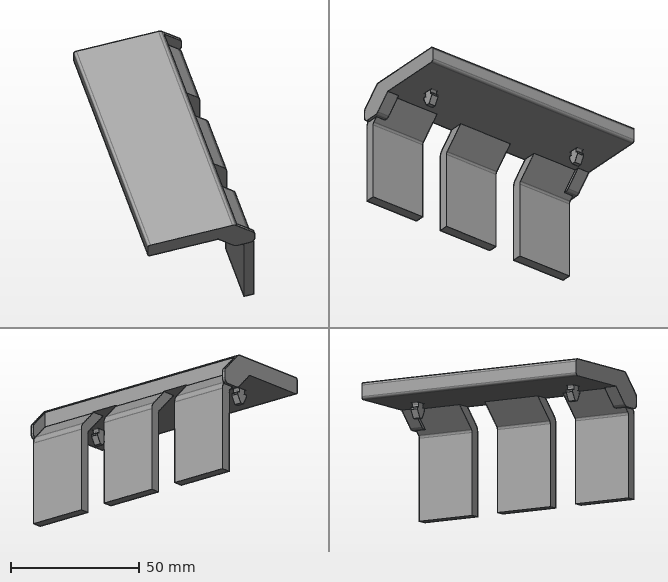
import cadquery as cq

LENGTH = 99.3
DEPTH = 43.6
HEIGHT = 49.3
PLATE_THICKNESS = 6.8
EDGE_RADIUS = 1.1
BEND_RADIUS = 2.0
OUTER_BEND = 8.2
INNER_BEND = 14.9
BRACKET_DROP = 13.7
PLATE_BACK = 7.05

BRACKET_WIDTH = 5.4
CHEEK_WIDTH = 1.2

FLAP_COUNT = 3
FLAP_WIDTH = 24.5
FLAP_PITCH = (LENGTH - 2 * CHEEK_WIDTH - FLAP_WIDTH) / (FLAP_COUNT - 1)
FLAP_THICKNESS = 4.1
FLAP_OUTER_DROP = 14.2
FLAP_INNER_DROP = 15.8
FLAP_OUTER_RADIUS = 4.0
FLAP_INNER_RADIUS = 1.5

CLIP_WIDTH = 3.0
CLIP_INSET = 13.7
CLIP_SETBACK = 24.6
STEM_HALF = 1.6
BARB_HALF = 2.63
TIP_HALF = 0.8
BARB_TOP = 8.5
BARB_SHOULDER = 9.5
TIP_DROP = 12.8
BARB_RADIUS = 0.5
STEM_ROOT_RADIUS = 0.8


def extrude_profile(points, start, width):
    """Extrude along X an outline of (distance from back, drop from top) points."""
    outline = [(-setback, -drop) for setback, drop in points]
    return cq.Workplane("YZ").workplane(offset=start).polyline(outline).close().extrude(width)


def round_corner(body, setback, drop, radius):
    """Fillet the X-direction edge at the given profile corner."""
    near = 0.01
    selector = cq.selectors.BoxSelector(
        (-LENGTH, -setback - near, -drop - near),
        (2 * LENGTH, -setback + near, -drop + near),
    )
    return body.edges("|X").edges(selector).fillet(radius)


def make_cover():
    """Full bent section, cut back between the cheeks and between the brackets."""
    inner_foot = INNER_BEND + PLATE_THICKNESS - BRACKET_DROP
    cover = extrude_profile(
        [
            (OUTER_BEND, 0),
            (DEPTH, 0),
            (DEPTH, PLATE_THICKNESS),
            (INNER_BEND, PLATE_THICKNESS),
            (inner_foot, BRACKET_DROP),
            (0, BRACKET_DROP),
            (0, OUTER_BEND),
        ],
        0,
        LENGTH,
    )
    for drop in (0, PLATE_THICKNESS):
        cover = round_corner(cover, DEPTH, drop, EDGE_RADIUS)
    for setback, drop in (
        (OUTER_BEND, 0),
        (inner_foot, BRACKET_DROP),
        (0, BRACKET_DROP),
        (0, OUTER_BEND),
    ):
        cover = round_corner(cover, setback, drop, BEND_RADIUS)

    above_flaps = extrude_profile(
        [
            (0, 0),
            (PLATE_BACK, 0),
            (PLATE_BACK, FLAP_OUTER_DROP - PLATE_BACK),
            (FLAP_THICKNESS, FLAP_OUTER_DROP - FLAP_THICKNESS),
            (FLAP_THICKNESS, BRACKET_DROP),
            (0, BRACKET_DROP),
        ],
        CHEEK_WIDTH,
        LENGTH - 2 * CHEEK_WIDTH,
    )
    between_brackets = extrude_profile(
        [
            (0, 0),
            (PLATE_BACK, 0),
            (PLATE_BACK, PLATE_THICKNESS),
            (INNER_BEND, PLATE_THICKNESS),
            (INNER_BEND, BRACKET_DROP),
            (0, BRACKET_DROP),
        ],
        BRACKET_WIDTH,
        LENGTH - 2 * BRACKET_WIDTH,
    )
    return cover.cut(above_flaps).cut(between_brackets)


def make_flap(start):
    """Sheet bent by 45 degrees that joins the underside of the plate."""
    root_drop = PLATE_THICKNESS / 2
    root_front = FLAP_THICKNESS + FLAP_INNER_DROP - PLATE_THICKNESS
    flap = extrude_profile(
        [
            (0, HEIGHT),
            (0, FLAP_OUTER_DROP),
            (PLATE_BACK, FLAP_OUTER_DROP - PLATE_BACK),
            (PLATE_BACK, root_drop),
            (root_front, root_drop),
            (root_front, PLATE_THICKNESS),
            (FLAP_THICKNESS, FLAP_INNER_DROP),
            (FLAP_THICKNESS, HEIGHT),
        ],
        start,
        FLAP_WIDTH,
    )
    flap = round_corner(flap, 0, FLAP_OUTER_DROP, FLAP_OUTER_RADIUS)
    return round_corner(flap, FLAP_THICKNESS, FLAP_INNER_DROP, FLAP_INNER_RADIUS)


def make_clip(center):
    """Arrow-shaped snap clip with its stem rising into the plate."""
    front_half = [
        (STEM_HALF, PLATE_THICKNESS / 2),
        (STEM_HALF, BARB_TOP),
        (BARB_HALF, BARB_TOP),
        (BARB_HALF, BARB_SHOULDER),
        (TIP_HALF, TIP_DROP),
    ]
    points = [(CLIP_SETBACK + half, drop) for half, drop in front_half]
    points += [(CLIP_SETBACK - half, drop) for half, drop in reversed(front_half)]
    clip = extrude_profile(points, center - CLIP_WIDTH / 2, CLIP_WIDTH)
    for side in (-1, 1):
        clip = round_corner(clip, CLIP_SETBACK + side * BARB_HALF, BARB_TOP, BARB_RADIUS)
    return clip


result = make_cover()
for index in range(FLAP_COUNT):
    result = result.union(make_flap(CHEEK_WIDTH + index * FLAP_PITCH))
for clip_center in (CLIP_INSET, LENGTH - CLIP_INSET):
    result = result.union(make_clip(clip_center))
for side in (-1, 1):
    result = round_corner(result, CLIP_SETBACK + side * STEM_HALF, PLATE_THICKNESS, STEM_ROOT_RADIUS)